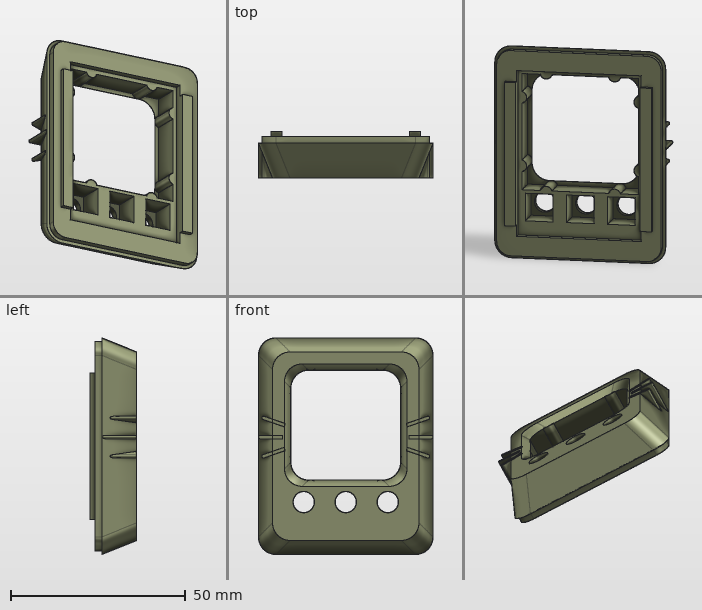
import cadquery as cq


body_width = 50.0
body_height = 62.0
body_depth = 10.0
body_inset = 4.0
corner_radius = 5.0
front_width = body_width - 2 * body_inset
front_height = body_height - 2 * body_inset

rim_depth = 2.0
rim_inset = 1.0
rim_width = body_width - 2 * rim_inset
rim_height = body_height - 2 * rim_inset
rim_radius = corner_radius - rim_inset

rail_width = 3.2
rail_height = 42.0
rail_thickness = 1.4
rail_gap = 36.45
rail_center_x = (rail_gap + rail_width) / 2
rim_back_y = body_depth + rim_depth

opening_height = rim_height - (rim_width - rail_gap)

front_wall = 2.0
window_front = 35.0
window_back = 31.4
window_radius = 5.0
window_z = 6.0

cavity_size = 34.0
rib_diameter = 3.6
rib_spacing = 20.0
rib_axis_distance = window_back / 2 + rib_diameter / 2

button_count = 3
button_diameter = 6.0
button_pitch = 12.0
button_z = -16.0
pocket_size = 8.05

whisker_width = 1.0
whisker_length = 6.9
whisker_inlay = 0.2
whisker_mid_z = 2.6
whisker_mid_x = body_width / 2 - whisker_length
whisker_side_x = 17.5
whisker_side_offset = 3.4
whisker_angle = 19.0


def front_plane(y, z=0.0):
    """Workplane parallel to the front face, with its origin at depth y and height z."""
    return cq.Workplane("XZ", origin=(0, y, z))


def rounded_outline(width, height, radius):
    return cq.Sketch().rect(width, height).vertices().fillet(radius)


def rectangle_block(width, height, depth, y, z=0.0):
    return front_plane(y, z).rect(width, height).extrude(-depth)


def tapered_block(front_outline, back_outline, depth, z=0.0):
    """Straight-sided loft from an outline at the front face to another one at the given depth."""
    return front_plane(0, z).placeSketch(
        front_outline, back_outline.moved(cq.Location(cq.Vector(0, 0, -depth)))
    ).loft(ruled=True)


def make_body():
    body = tapered_block(
        rounded_outline(front_width, front_height, corner_radius),
        rounded_outline(body_width, body_height, corner_radius),
        body_depth,
    )
    rim_outline = rounded_outline(rim_width, rim_height, rim_radius)
    rim = front_plane(body_depth).placeSketch(rim_outline).extrude(-rim_depth)
    return body.union(rim)


def make_rails():
    return (
        front_plane(rim_back_y)
        .pushPoints([(-rail_center_x, 0), (rail_center_x, 0)])
        .rect(rail_width, rail_height)
        .extrude(-rail_thickness)
    )


def make_window():
    return tapered_block(
        rounded_outline(window_front, window_front, window_radius),
        rounded_outline(window_back, window_back, window_radius),
        front_wall,
        window_z,
    )


def make_cavity():
    """Screen cavity with two ribs left standing on each wall."""
    depth = body_depth - front_wall
    cavity = rectangle_block(cavity_size, cavity_size, depth, front_wall, window_z)
    along_wall = (-rib_spacing / 2, rib_spacing / 2)
    from_center = (-rib_axis_distance, rib_axis_distance)
    rib_axes = [(a, d) for a in along_wall for d in from_center]
    rib_axes += [(d, a) for a in along_wall for d in from_center]
    ribs = front_plane(front_wall, window_z).pushPoints(rib_axes).circle(rib_diameter / 2).extrude(-depth)
    return cavity.cut(ribs)


def make_rim_opening():
    return rectangle_block(rail_gap, opening_height, rim_depth, body_depth)


def make_button_openings():
    layout = front_plane(0, button_z).rarray(button_pitch, 0.6, button_count, 1)
    holes = layout.circle(button_diameter / 2).extrude(-front_wall)
    pockets = (
        front_plane(front_wall, button_z)
        .rarray(button_pitch, 0.6, button_count, 1)
        .rect(pocket_size, pocket_size)
        .extrude(front_wall - body_depth)
    )
    return holes.union(pockets)


def whisker_bar(side, row, y, depth):
    """Bar of one whisker; side is -1 (left) or 1 (right), row is -1 (low), 0 (middle) or 1 (high)."""
    half_width = whisker_width / 2
    straight = whisker_length - half_width
    inner_x = whisker_side_x if row else whisker_mid_x
    bar = (
        front_plane(y)
        .moveTo(0, -half_width)
        .lineTo(straight, -half_width)
        .threePointArc((whisker_length, 0), (straight, half_width))
        .lineTo(0, half_width)
        .close()
        .extrude(-depth)
        .rotate((0, 0, 0), (0, -1, 0), row * whisker_angle)
        .translate((inner_x, 0, whisker_mid_z + row * whisker_side_offset))
    )
    return bar if side > 0 else bar.mirror("YZ")


def make_whisker(side, row, body, window):
    """Inlaid strip at the front, carried by a wedge that fills back to the sloping side of the housing."""
    strip = whisker_bar(side, row, 0, whisker_inlay).cut(window)
    wedge = whisker_bar(side, row, whisker_inlay, body_depth - whisker_inlay).cut(body)
    return strip.union(wedge, clean=False).solids().val()


def make_housing(body, window, whisker_places):
    housing = body.union(make_rails())
    housing = housing.cut(window).cut(make_cavity()).cut(make_rim_opening()).cut(make_button_openings())
    for side, row in whisker_places:
        housing = housing.cut(whisker_bar(side, row, 0, whisker_inlay))
    return housing.solids().val()


whisker_places = [(side, row) for side in (-1, 1) for row in (-1, 0, 1)]
body = make_body()
window = make_window()
housing = make_housing(body, window, whisker_places)
whiskers = [make_whisker(side, row, body, window) for side, row in whisker_places]

result = cq.Compound.makeCompound([housing, *whiskers])